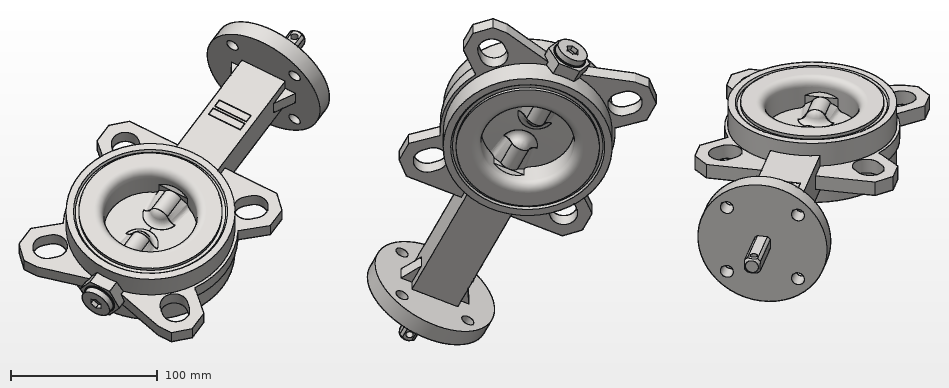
import cadquery as cq
import math


body_radius = 57.5
body_height = 46.0
liner_radius = 48.8
liner_height = 47.8
groove_radius = 52.4
groove_floor_radius = 51.2
groove_depth = 1.5
bore_radius = 31.8
bore_round = 6.2

pad_distance = 29.7
pad_half_height = 11.4
pad_crown_slope = 1.2

lug_span = 138.0
lug_thickness = 10.5
lug_corner_cut = 10.3
lug_side_flat = 15.3
lug_bottom_flat = 10.5
lower_edge_slope = 0.28
side_edge_slope = 0.92
belt_radius = 59.6
slot_width = 19.0
slot_outer_radius = 72.6
slot_inner_radius = 68.0

neck_width = 34.5
neck_depth = 26.7
flange_diameter = 90.0
flange_thickness = 12.5
flange_top = 160.3
flange_bottom = flange_top - flange_thickness
flange_hole_diameter = 9.0
flange_bolt_circle = 70.0
gusset_half_width = 25.5
gusset_length = 15.0
gusset_thickness = 10.5

label_width = 25.2
label_length = 6.0
label_height = 0.6
label_centres = (107.7, 99.7)

stem_end = 194.1
stem_square = 11.0
stem_diameter = 13.0
stem_chamfer = 1.0
stem_hole_diameter = 5.0
stem_hole_from_end = 5.9

hex_across_flats = 27.0
hex_end = -66.3
washer_diameter = 23.5
washer_thickness = 0.8
plug_diameter = 22.0
plug_end = -71.6
socket_across_flats = 8.0
socket_depth = 3.5

disc_radius = bore_radius + 1.0
disc_rim_half_thickness = 2.0
disc_rise = 0.6
hub_inner_end = 11.6
hub_outer_end = pad_distance + 1.0
hub_inner_base, hub_inner_shoulder, hub_inner_shoulder_height = 12.5, 9.0, 4.2
hub_outer_base, hub_outer_shoulder, hub_outer_shoulder_height = 14.9, 11.5, 4.85
hub_flare_hollow = 0.35
hub_crest_half_width = 6.3
hub_crest_edge_height = 7.7
hub_crest_height = 11.3
nose_axis = 14.6
nose_radius = 12.85
nose_waist_radius = 7.6
nose_waist_height = 6.3
nose_shoulder_radius = 6.0
nose_shoulder_height = 9.3


def across_corners(across_flats):
    """Corner-to-corner size of a regular hexagon."""
    return across_flats / math.cos(math.pi / 6)


def cylinder(radius, height):
    return cq.Workplane("XY").circle(radius).extrude(height / 2, both=True)


def along_y(start):
    """Sketch plane across the stem axis at Y = start, facing +Y, with local x along -X."""
    return cq.Workplane(cq.Plane((0, start, 0), xDir=(-1, 0, 0), normal=(0, 1, 0)))


def lug_plate():
    half = lug_span / 2
    shoulder = half - lug_corner_cut
    side_end = shoulder - lug_side_flat
    bottom_flat_end = shoulder - lug_bottom_flat
    upper_lugs = [(half, side_end), (half, shoulder), (shoulder, half)]
    lower_lugs = [(bottom_flat_end, -half), (shoulder, -half), (half, -shoulder), (half, -side_end)]
    lower_middle = (0, -half + lower_edge_slope * bottom_flat_end)
    waist = (half - side_end / side_edge_slope, 0)
    right_side = [lower_middle] + lower_lugs + [waist] + upper_lugs
    left_side = [(-x, y) for x, y in reversed(right_side[1:])]
    plate = cq.Workplane("XY").polyline(right_side + left_side).close()
    plate = plate.extrude(lug_thickness / 2, both=True).union(cylinder(belt_radius, lug_thickness))

    slot_middle = (slot_outer_radius + slot_inner_radius) / 2
    slot_length = slot_outer_radius - slot_inner_radius + slot_width
    for angle in (45, 135, 225, 315):
        slot = cq.Workplane("XY").center(slot_middle, 0).slot2D(slot_length, slot_width)
        slot = slot.extrude(lug_thickness, both=True)
        plate = plate.cut(slot.rotate((0, 0, 0), (0, 0, 1), angle))
    return plate


def body_ring():
    ring = cylinder(body_radius, body_height)
    half = body_height / 2
    groove = (
        cq.Workplane("XZ")
        .moveTo(0, half)
        .lineTo(groove_radius, half)
        .lineTo(groove_floor_radius, half - groove_depth)
        .lineTo(0, half - groove_depth)
        .close()
        .revolve(360, (0, 0, 0), (0, 1, 0))
    )
    ring = ring.cut(groove).cut(groove.mirror("XY"))
    return ring.union(cylinder(liner_radius, liner_height))


def neck():
    bar = along_y(0).rect(neck_width, neck_depth).extrude(flange_bottom)
    gussets = (
        cq.Workplane("XY")
        .moveTo(-gusset_half_width, flange_bottom)
        .lineTo(gusset_half_width, flange_bottom)
        .lineTo(neck_width / 2, flange_bottom - gusset_length)
        .lineTo(-neck_width / 2, flange_bottom - gusset_length)
        .close()
        .extrude(gusset_thickness / 2, both=True)
    )
    labels = (
        cq.Workplane("XY", origin=(0, 0, neck_depth / 2))
        .pushPoints([(0, centre) for centre in label_centres])
        .rect(label_width, label_length)
        .extrude(label_height)
    )
    return bar.union(gussets).union(labels)


def mounting_flange():
    flange = along_y(flange_bottom).circle(flange_diameter / 2).extrude(flange_thickness)
    holes = (
        along_y(flange_bottom)
        .polarArray(flange_bolt_circle / 2, 45, 360, 4)
        .circle(flange_hole_diameter / 2)
        .extrude(flange_thickness)
    )
    return flange.cut(holes)


def stem():
    length = stem_end - flange_bottom
    square = along_y(flange_bottom).rect(stem_square, stem_square).extrude(length)
    round_bar = along_y(flange_bottom).circle(stem_diameter / 2).extrude(length)
    round_bar = round_bar.faces(">Y").chamfer(stem_chamfer + (stem_diameter - stem_square) / 2)
    cross_hole = (
        cq.Workplane("XY")
        .center(0, stem_end - stem_hole_from_end)
        .circle(stem_hole_diameter / 2)
        .extrude(stem_diameter, both=True)
    )
    return square.intersect(round_bar).cut(cross_hole)


def bottom_plug():
    hex_length = -hex_end - bore_radius - bore_round
    hex_head = along_y(hex_end).polygon(6, across_corners(hex_across_flats)).extrude(hex_length)
    washer = along_y(hex_end).circle(washer_diameter / 2).extrude(-washer_thickness)
    plug = along_y(plug_end).circle(plug_diameter / 2).extrude(hex_end - plug_end)
    socket = along_y(plug_end).polygon(6, across_corners(socket_across_flats)).extrude(socket_depth)
    socket = socket.rotate((0, 0, 0), (0, 1, 0), 30)
    return hex_head.union(washer).union(plug).cut(socket)


def bore():
    top = liner_height / 2
    mouth_radius = bore_radius + bore_round
    round_offset = bore_round * (1 - math.sin(math.pi / 4))
    upper_half = (
        cq.Workplane("XZ")
        .lineTo(bore_radius, 0)
        .lineTo(bore_radius, top - bore_round)
        .threePointArc((bore_radius + round_offset, top - round_offset), (mouth_radius, top))
        .lineTo(0, top)
        .close()
        .revolve(360, (0, 0, 0), (0, 1, 0))
    )
    return upper_half.union(upper_half.mirror("XY"))


def stem_pad():
    """Pad on the +Y bore wall, merging into the liner behind it, with sloping top and bottom."""
    back = bore_radius + bore_round / 2
    back_half_height = pad_half_height + pad_crown_slope * (back - pad_distance)
    return (
        cq.Workplane("YZ")
        .moveTo(pad_distance, -pad_half_height)
        .lineTo(back, -back_half_height)
        .lineTo(back, back_half_height)
        .lineTo(pad_distance, pad_half_height)
        .close()
        .extrude(bore_radius / 2, both=True)
    )


def disc_surface(x, y):
    """Height of the shallow conical disc face at a point."""
    return disc_rim_half_thickness + disc_rise * (1 - math.hypot(x, y) / disc_radius)


def hub_section(start, base_half_width, shoulder_half_width, shoulder_height):
    """Closed outline: flared foot, sloping flank and rounded crest, standing on the plane Z = 0."""
    foot = disc_surface(base_half_width, start)
    flare_middle = (
        shoulder_half_width + hub_flare_hollow * (base_half_width - shoulder_half_width),
        foot + hub_flare_hollow * (shoulder_height - foot),
    )
    return (
        along_y(start)
        .moveTo(-base_half_width, 0)
        .lineTo(-base_half_width, foot)
        .threePointArc((-flare_middle[0], flare_middle[1]), (-shoulder_half_width, shoulder_height))
        .lineTo(-hub_crest_half_width, hub_crest_edge_height)
        .threePointArc((0, hub_crest_height), (hub_crest_half_width, hub_crest_edge_height))
        .lineTo(shoulder_half_width, shoulder_height)
        .threePointArc(flare_middle, (base_half_width, foot))
        .lineTo(base_half_width, 0)
        .close()
        .wires()
        .val()
    )


def hub():
    """Tapered hub on the upper disc face, toward +Y, with a rounded nose."""
    inner = hub_section(hub_inner_end, hub_inner_base, hub_inner_shoulder, hub_inner_shoulder_height)
    outer = hub_section(hub_outer_end, hub_outer_base, hub_outer_shoulder, hub_outer_shoulder_height)
    barrel = cq.Workplane(cq.Solid.makeLoft([outer, inner], True))

    crest_radius = nose_axis - hub_inner_end
    foot = disc_surface(0, nose_axis - nose_radius)
    flare_width = nose_radius - nose_waist_radius
    flare_height = nose_waist_height - foot
    flare_radius = (flare_width**2 + flare_height**2) / (2 * flare_height)
    nose = (
        cq.Workplane("XZ", origin=(0, nose_axis, 0))
        .lineTo(nose_radius, 0)
        .lineTo(nose_radius, foot)
        .radiusArc((nose_waist_radius, nose_waist_height), flare_radius)
        .threePointArc((nose_shoulder_radius, nose_shoulder_height), (crest_radius, hub_crest_height))
        .lineTo(0, hub_crest_height)
        .close()
        .revolve(360, (0, 0, 0), (0, 1, 0))
    )
    front = along_y(hub_inner_end).rect(4 * nose_radius, 4 * nose_radius).extrude(-nose_radius)
    return barrel.union(nose.intersect(front))


def disc():
    upper_half = (
        cq.Workplane("XZ")
        .lineTo(disc_radius, 0)
        .lineTo(disc_radius, disc_rim_half_thickness)
        .lineTo(0, disc_rim_half_thickness + disc_rise)
        .close()
        .revolve(360, (0, 0, 0), (0, 1, 0))
    )
    one_hub = hub()
    upper_half = upper_half.union(one_hub).union(one_hub.mirror("XZ"))
    return upper_half.union(upper_half.mirror("XY"))


pad = stem_pad()
result = (
    lug_plate()
    .union(neck())
    .union(body_ring())
    .union(bottom_plug())
    .cut(bore())
    .union(mounting_flange())
    .union(stem())
    .union(pad)
    .union(pad.mirror("XZ"))
    .union(disc())
)